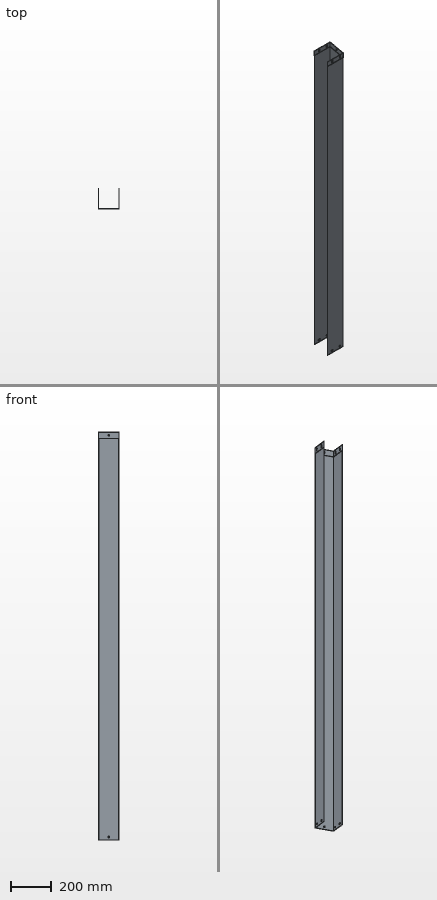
import cadquery as cq

length = 1999.0
sheet = 0.7
body_width = 100.0
body_depth = 100.0

socket_length = 31.0
socket_width = body_width + 2 * sheet
socket_depth = body_depth + sheet

hole_diameter = 7.0
hole_end_distance = 15.0
front_setback = 20.0
rear_setback = 69.5
upper_slot_length = 14.0
lower_slot_length = 12.0

rear_y = socket_depth / 2
body_front_y = rear_y - body_depth
bottom_z = -length / 2
top_z = length / 2
step_z = top_z - socket_length
lower_hole_z = bottom_z + hole_end_distance
upper_hole_z = top_z - hole_end_distance
front_hole_y = body_front_y + front_setback
rear_hole_y = body_front_y + rear_setback


def block(width, depth, z_start, height):
    """Box centred in X that ends flush with the open rear edges."""
    box = cq.Workplane("XY").box(width, depth, height, centered=(True, False, False))
    return box.translate((0, rear_y - depth, z_start))


def channel(width, depth, wall, z_start, height):
    """U-shaped channel with equal walls at the front and both sides."""
    outer = block(width, depth, z_start, height)
    cavity = block(width - 2 * wall, depth - wall, z_start, height)
    return outer.cut(cavity)


def side_cutter(sketch):
    """Extrude a YZ outline through both side walls."""
    return sketch.extrude(socket_width, both=True)


def side_hole(y, z):
    """Round hole through both side walls."""
    return side_cutter(cq.Workplane("YZ").center(y, z).circle(hole_diameter / 2))


def side_slot(y, z, slot_length, angle):
    """Round-ended slot through both side walls; angle 0 runs along Y, 90 along Z."""
    return side_cutter(cq.Workplane("YZ").center(y, z).slot2D(slot_length, hole_diameter, angle))


def front_hole(z):
    """Round hole through the front wall."""
    return cq.Workplane("XZ").center(0, z).circle(hole_diameter / 2).extrude(socket_depth)


result = channel(body_width, body_depth, sheet, bottom_z, length - socket_length)
result = result.union(channel(socket_width, socket_depth, 2 * sheet, step_z, sheet))
result = result.union(channel(socket_width, socket_depth, sheet, step_z, socket_length))

for hole_z in (lower_hole_z, upper_hole_z):
    result = result.cut(front_hole(hole_z))

result = result.cut(side_hole(front_hole_y, lower_hole_z))
result = result.cut(side_slot(rear_hole_y, lower_hole_z, lower_slot_length, 0))

for hole_y in (front_hole_y, rear_hole_y):
    result = result.cut(side_slot(hole_y, upper_hole_z, upper_slot_length, 90))